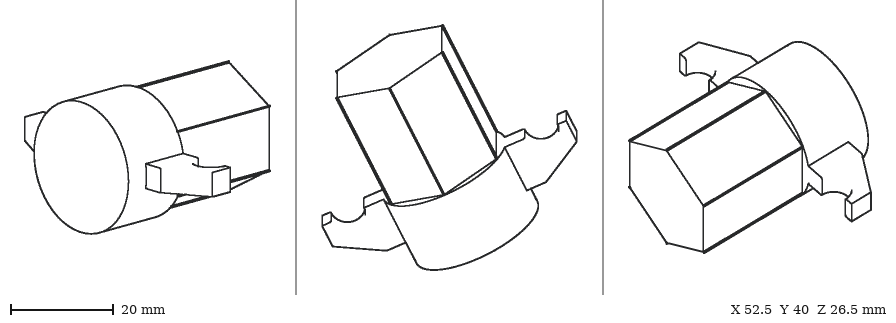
import cadquery as cq
import math

cap_diameter = 26.5
cap_length = 15.0

shank_across_corners = 26.0
shank_length = 25.0
fin_thickness = 0.2
fin_span = cap_diameter
shank_sides = 6

hook_span = 52.5
hook_thickness = 5.0
hook_depth = 10.15
hook_tip_depth = 4.95
hook_slope_angle = 30.0
hook_slope_fillet = 0.2

notch_radius = 3.5
notch_offset = 20.8
notch_edge_fillet = 0.5

half_span = hook_span / 2
slope_run = (hook_depth - hook_tip_depth) / math.tan(math.radians(hook_slope_angle))


def make_cap():
    return cq.Workplane("XZ").circle(cap_diameter / 2).extrude(cap_length)


def make_shank():
    """Hexagon with fins, made as plates running from corner to opposite corner."""
    corner_turn = 360 / shank_sides
    shank = (
        cq.Workplane("XZ")
        .polygon(shank_sides, shank_across_corners)
        .extrude(-shank_length)
        .rotate((0, 0, 0), (0, 1, 0), corner_turn / 2)
    )
    fin_plate = cq.Workplane("XZ").rect(fin_thickness, fin_span).extrude(-shank_length)
    for index in range(shank_sides // 2):
        shank = shank.union(fin_plate.rotate((0, 0, 0), (0, 1, 0), index * corner_turn))
    return shank


def fillet_both_sides(plate, edge_xy, radius):
    """Round the edge nearest to edge_xy on the upper and lower faces of a hook plate."""
    for side in (1, -1):
        edge_point = (*edge_xy, side * hook_thickness / 2)
        plate = plate.edges(cq.selectors.NearestToPointSelector(edge_point)).fillet(radius)
    return plate


def make_hook():
    """Hook on the +X side, starting at the cap axis."""
    outline = [
        (0, 0),
        (half_span, 0),
        (half_span, -hook_tip_depth),
        (half_span - slope_run, -hook_depth),
        (0, -hook_depth),
    ]
    plate = cq.Workplane("XY").polyline(outline).close().extrude(hook_thickness / 2, both=True)

    slope_middle = (half_span - slope_run / 2, -(hook_tip_depth + hook_depth) / 2)
    plate = fillet_both_sides(plate, slope_middle, hook_slope_fillet)

    notch = (
        cq.Workplane("XY")
        .center(notch_offset, 0)
        .circle(notch_radius)
        .extrude(hook_thickness / 2, both=True)
    )
    return fillet_both_sides(plate.cut(notch), (notch_offset, -notch_radius), notch_edge_fillet)


hook = make_hook()
result = make_cap().union(make_shank()).union(hook).union(hook.mirror("YZ"))